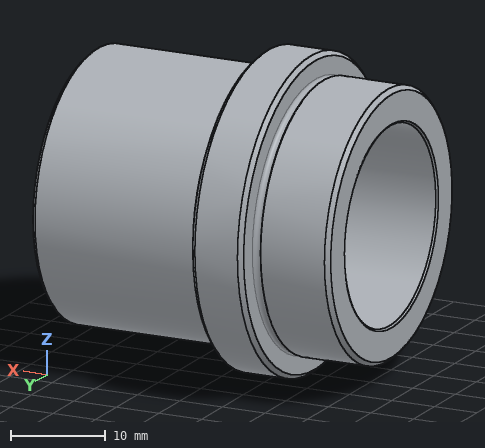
import cadquery as cq

length = 35.0
collar_diameter = 35.0
body_diameter = 30.0
bore_diameter = 22.0

collar_start = 9.0
collar_width = 6.0
collar_end = collar_start + collar_width

groove_radius = 0.5
chamfer = 0.5
bore_chamfer = 0.2

collar_radius = collar_diameter / 2
body_radius = body_diameter / 2
bore_radius = bore_diameter / 2


def relief_groove(profile, start):
    """Continue the half-profile across a semicircular groove that begins at the given X."""
    bottom = (start + groove_radius, body_radius - groove_radius)
    end = (start + 2 * groove_radius, body_radius)
    return profile.threePointArc(bottom, end)


left_groove_start = collar_start - 2 * groove_radius
profile = (
    cq.Workplane("XY")
    .moveTo(0, bore_radius + bore_chamfer)
    .lineTo(0, body_radius - chamfer)
    .lineTo(chamfer, body_radius)
    .lineTo(left_groove_start, body_radius)
)

profile = relief_groove(profile, left_groove_start)
profile = (
    profile.lineTo(collar_start, collar_radius - chamfer)
    .lineTo(collar_start + chamfer, collar_radius)
    .lineTo(collar_end - chamfer, collar_radius)
    .lineTo(collar_end, collar_radius - chamfer)
    .lineTo(collar_end, body_radius)
)
profile = relief_groove(profile, collar_end)

profile = (
    profile.lineTo(length - chamfer, body_radius)
    .lineTo(length, body_radius - chamfer)
    .lineTo(length, bore_radius + bore_chamfer)
    .lineTo(length - bore_chamfer, bore_radius)
    .lineTo(bore_chamfer, bore_radius)
    .close()
)

result = profile.revolve(360, (0, 0, 0), (1, 0, 0))